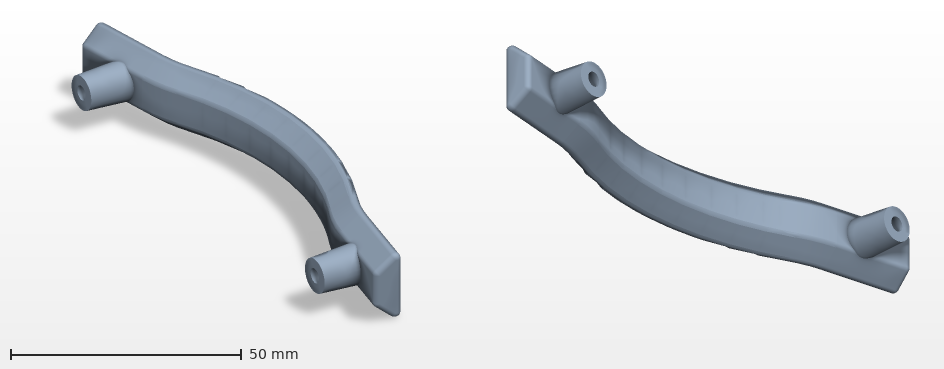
import cadquery as cq
import math

length = 123.2
height = 15.6
depth = 27.5

bar_thickness = 6.4
side_flat = 1.8
side_slope = 39.5
edge_radius = 1.2

bow_radius = 78.9
bend_radius = 30.8
bow_angle = 25.5
leg_angle = 10.0

post_offset = 48.0
post_tip_radius = 4.1
post_root_radius = 4.8
post_root_y = 12.9
screw_hole_radius = 1.7
screw_hole_depth = 9.9
drill_point_angle = 118.0


def point_on_arc(center, radius, degrees_from_y):
    """Point at an angle measured from +Y towards -X."""
    angle = math.radians(degrees_from_y)
    return (center[0] - radius * math.sin(angle), center[1] + radius * math.cos(angle))


def mirrored(point):
    return (-point[0], point[1])


def make_path():
    """Back-face centreline, from the left leg end to the right leg end."""
    bow_center = (0, depth - bow_radius)
    crown = (0, depth)
    bow_end = point_on_arc(bow_center, bow_radius, bow_angle)
    bend_center = point_on_arc(bow_center, bow_radius + bend_radius, bow_angle)
    bend_middle = point_on_arc(bend_center, -bend_radius, (bow_angle + leg_angle) / 2)
    bend_end = point_on_arc(bend_center, -bend_radius, leg_angle)

    tilt = math.radians(leg_angle)
    corner_x = -length / 2 + edge_radius * (1 - math.cos(tilt) - math.sin(tilt))
    leg_end = (corner_x, bend_end[1] - (bend_end[0] - corner_x) * math.tan(tilt))

    path = (
        cq.Workplane("XY")
        .moveTo(*leg_end)
        .lineTo(*bend_end)
        .threePointArc(bend_middle, bow_end)
        .threePointArc(crown, mirrored(bow_end))
        .threePointArc(mirrored(bend_middle), mirrored(bend_end))
        .lineTo(*mirrored(leg_end))
    )
    return path, leg_end


def make_bar():
    path, leg_end = make_path()
    tilt = math.radians(leg_angle)
    slope = math.radians(side_slope)

    back_half = height / 2
    front_half = back_half - (bar_thickness - side_flat) * math.tan(slope)

    section_plane = cq.Plane(
        origin=(leg_end[0], leg_end[1], 0),
        xDir=(math.sin(tilt), -math.cos(tilt), 0),
        normal=(math.cos(tilt), math.sin(tilt), 0),
    )
    section = cq.Workplane(section_plane).polyline(
        [
            (0, -back_half),
            (side_flat, -back_half),
            (bar_thickness, -front_half),
            (bar_thickness, front_half),
            (side_flat, back_half),
            (0, back_half),
        ]
    ).close()
    return section.sweep(path).edges().fillet(edge_radius)


def make_post(x):
    """Tapered post running from its tip at Y = 0 into the bar."""
    profile = [(0, 0), (post_tip_radius, 0), (post_root_radius, post_root_y), (0, post_root_y)]
    return cq.Workplane("XY").polyline(profile).close().revolve().translate((x, 0, 0))


def make_screw_hole(x):
    """Blind hole with a conical drill point."""
    point_depth = screw_hole_radius / math.tan(math.radians(drill_point_angle / 2))
    profile = [
        (0, 0),
        (screw_hole_radius, 0),
        (screw_hole_radius, screw_hole_depth),
        (0, screw_hole_depth + point_depth),
    ]
    return cq.Workplane("XY").polyline(profile).close().revolve().translate((x, 0, 0))


result = make_bar()
for post_x in (-post_offset, post_offset):
    result = result.union(make_post(post_x)).cut(make_screw_hole(post_x))